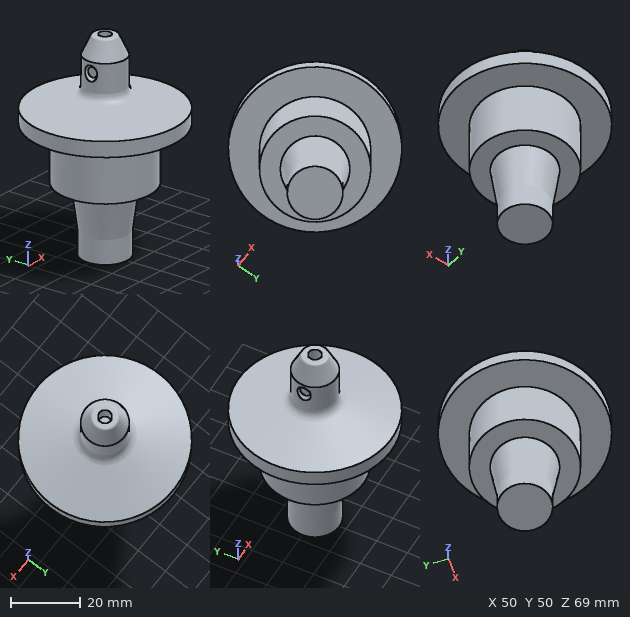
import cadquery as cq
import math

overall_height = 69.0
neck_top = 7.9
taper_top = 22.55
drum_top = 41.0
rim_top = 46.0
shaft_top = 62.65

neck_diameter = 16.0
taper_top_diameter = 20.0
drum_diameter = 32.0
flange_diameter = 50.0
shaft_diameter = 14.0
nose_tip_diameter = 8.0

flange_slope = 15.0
shaft_fillet = 3.0
nose_fillet = 0.75

bore_diameter = 4.0
bore_depth = 6.9

dimple_height = 59.0
dimple_mouth_diameter = 5.05
dimple_floor_diameter = 3.25
dimple_depth = 1.05

flange_radius = flange_diameter / 2
shaft_radius = shaft_diameter / 2
slope_rise = (flange_radius - shaft_radius) * math.tan(math.radians(flange_slope))
shaft_base = rim_top + slope_rise


def circle_at(radius, height):
    """Selector for the circular edge of a given radius at a given height."""
    tolerance = 0.035
    reach = radius + tolerance
    return cq.selectors.BoxSelector(
        (-reach, -reach, height - tolerance),
        (reach, reach, height + tolerance),
        boundingbox=True,
    )


def turned_body():
    """Revolved stack of neck, taper, drum, flange, shaft and nose."""
    profile = [
        (0, 0),
        (neck_diameter / 2, 0),
        (neck_diameter / 2, neck_top),
        (taper_top_diameter / 2, taper_top),
        (drum_diameter / 2, taper_top),
        (drum_diameter / 2, drum_top),
        (flange_radius, drum_top),
        (flange_radius, rim_top),
        (shaft_radius, shaft_base),
        (shaft_radius, shaft_top),
        (nose_tip_diameter / 2, overall_height),
        (0, overall_height),
    ]
    body = cq.Workplane("XZ").polyline(profile).close().revolve(360, (0, 0), (0, 1))
    body = body.edges(circle_at(shaft_radius, shaft_base)).fillet(shaft_fillet)
    return body.edges(circle_at(nose_tip_diameter / 2, overall_height)).fillet(nose_fillet)


def axial_bore():
    """Cutter for the blind bore, running down from the nose tip."""
    floor = overall_height - bore_depth
    return cq.Workplane("XY").workplane(offset=floor).circle(bore_diameter / 2).extrude(bore_depth)


def side_dimple():
    """Cone cutter along X, its wide end just at the shaft surface."""
    return cq.Workplane(
        cq.Solid.makeCone(
            dimple_mouth_diameter / 2,
            dimple_floor_diameter / 2,
            dimple_depth,
            pnt=cq.Vector(-shaft_radius, 0, dimple_height),
            dir=cq.Vector(1, 0, 0),
        )
    )


result = turned_body().cut(axial_bore()).cut(side_dimple())